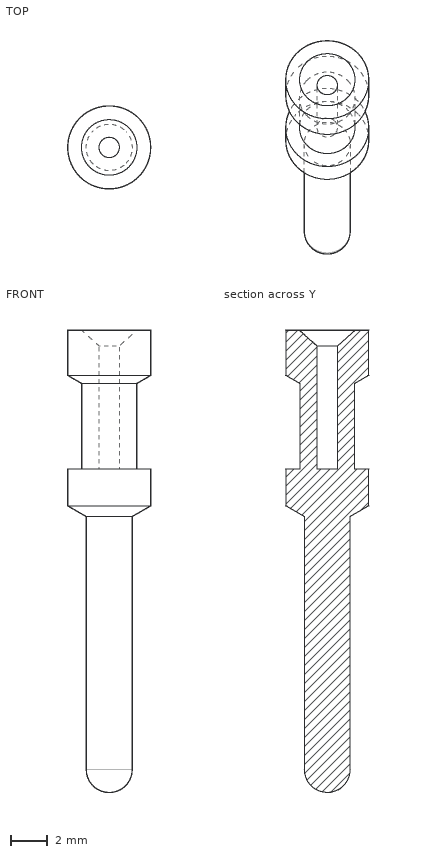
import cadquery as cq
import math

total_length = 25.0

pin_radius = 1.25

flange_radius = 2.25
neck_radius = 1.5
head_rim_height = 2.45
collar_top_depth = 7.5
collar_rim_height = 2.0
bevel_slope = math.tan(math.radians(30))

funnel_radius = 1.5
bore_radius = 0.55
funnel_depth = 0.85
bore_bottom_depth = collar_top_depth

head_bevel_z = total_length - head_rim_height
head_bottom_z = head_bevel_z - (flange_radius - neck_radius) * bevel_slope
collar_top_z = total_length - collar_top_depth
collar_bevel_z = collar_top_z - collar_rim_height
collar_bottom_z = collar_bevel_z - (flange_radius - pin_radius) * bevel_slope
funnel_bottom_z = total_length - funnel_depth
bore_bottom_z = total_length - bore_bottom_depth


def revolve_about_z(profile):
    """Spin a closed half profile, drawn as (radius, height), around the Z axis."""
    return profile.close().revolve(360, (0, 0, 0), (0, 1, 0))


def make_body():
    """Solid contact: domed pin, bevelled collar, neck and bevelled head."""
    profile = (
        cq.Workplane("XZ")
        .moveTo(0, 0)
        .radiusArc((pin_radius, pin_radius), -pin_radius)
        .lineTo(pin_radius, collar_bottom_z)
        .lineTo(flange_radius, collar_bevel_z)
        .lineTo(flange_radius, collar_top_z)
        .lineTo(neck_radius, collar_top_z)
        .lineTo(neck_radius, head_bottom_z)
        .lineTo(flange_radius, head_bevel_z)
        .lineTo(flange_radius, total_length)
        .lineTo(0, total_length)
    )
    return revolve_about_z(profile)


def make_wire_bore():
    """Blind, flat-bottomed bore with its conical mouth in the head."""
    profile = (
        cq.Workplane("XZ")
        .moveTo(0, bore_bottom_z)
        .lineTo(bore_radius, bore_bottom_z)
        .lineTo(bore_radius, funnel_bottom_z)
        .lineTo(funnel_radius, total_length)
        .lineTo(0, total_length)
    )
    return revolve_about_z(profile)


result = make_body().cut(make_wire_bore())